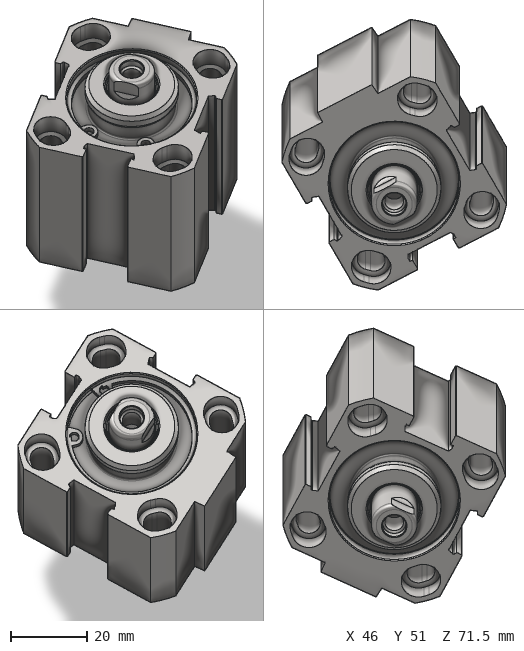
import cadquery as cq
import math


WIDTH = 46.0
HALF_DEPTH = 24.0
BOSS_REACH = 26.95
HEIGHT = 44.4
CORNER_RADIUS = 30.0
BOSS_HALF_WIDTH = 8.1
BOSS_ROOT_HALF_WIDTH = 8.3

SLOT_HALF_WIDTH = 6.1
UNDERCUT_HALF_WIDTH = 6.85
SLOT_FLOOR_HALF_WIDTH = 6.35
SLOT_FLOOR_REACH = 19.1
FRONT_LIP_REACH = 21.0
FRONT_UNDERCUT_REACH = 20.1
SIDE_LIP_REACH = 21.3
SIDE_UNDERCUT_REACH = 20.5
SIDE_LIP_SLOPE = 0.4
MOUTH_BEVEL = 0.2

MOUNT_X = 16.5
MOUNT_Y = 17.5
MOUNT_OFFSET = 1.4
MOUNT_HOLE = 5.9
MOUNT_COUNTERBORE = 8.95
MOUNT_COUNTERBORE_DEPTH = 5.7

BORE = 33.7
MOUTH_BORE = 34.1
MOUTH_CHAMFER = 0.3
SEAT_DEPTH = 3.6

RING_OUTER = 35.8
RING_INNER = 31.7
RING_THICKNESS = 1.5
EAR_RADIUS = 2.3
EAR_HOLE = 2.5
EAR_CENTER_RADIUS = 15.1
EAR_ANGLE = 31.0
EAR_FLARE = 15.0

GLAND_LENGTH = 10.0
NECK = 23.0
COLLAR = 24.5
GLAND_PROTRUSION = 5.1
COLLAR_CHAMFER = 1.0
COLLAR_LAND = 2.0
COLLAR_CONE = 1.3
NECK_FILLET = 0.5
WIPER_BORE = 14.0
WIPER_CHAMFER = 0.35
WIPER_BORE_DEPTH = 1.1
LIP_MOUTH = 13.3
LIP_MOUTH_DEPTH = 1.6
LIP_BORE = 12.5
LIP_BORE_DEPTH = 2.5

ROD = 12.0
ROD_LENGTH = 71.5
ROD_TOP = 11.0
ROD_FILLET = 1.3
FLATS = 10.0
FLAT_LENGTH = 4.35
FLAT_RUNOUT = 1.0
SOCKET_CHAMFER = 0.2
SOCKET = 6.2
SOCKET_DEPTH = 2.15
THREAD_HOLE = 4.9
THREAD_DEPTH = 10.7
STEP_ANGLE = 118.0
HOLE_POINT = 160.0


def cylinder(diameter, bottom, top):
    return cq.Workplane("XY").workplane(offset=bottom).circle(diameter / 2).extrude(top - bottom)


def revolved(profile):
    """Turn a (radius, height) outline about the Z axis."""
    return cq.Workplane("XZ").polyline(profile).close().revolve(360, (0, 0), (0, 1))


def mirrored_in_housing(body):
    """Copy a body from one end of the housing to the other."""
    return body.mirror("XY", (0, 0, HEIGHT / 2))


def t_slot(face_reach, lip_reach, lip_slope, undercut_reach):
    """T-slot cutter opening toward -Y, with its mouth at face_reach from the axis."""
    right_side = [
        (SLOT_HALF_WIDTH + MOUTH_BEVEL, -face_reach),
        (SLOT_HALF_WIDTH, -face_reach + MOUTH_BEVEL),
        (SLOT_HALF_WIDTH, -lip_reach),
        (UNDERCUT_HALF_WIDTH, -lip_reach + lip_slope),
        (UNDERCUT_HALF_WIDTH, -undercut_reach),
        (SLOT_FLOOR_HALF_WIDTH, -SLOT_FLOOR_REACH),
    ]
    left_side = [(-x, y) for x, y in reversed(right_side)]
    return cq.Workplane("XY").polyline(right_side + left_side).close().extrude(HEIGHT)


def housing_profile():
    block = cq.Workplane("XY").rect(WIDTH, 2 * HALF_DEPTH).extrude(HEIGHT)
    boss_outline = [
        (-BOSS_ROOT_HALF_WIDTH, HALF_DEPTH),
        (BOSS_ROOT_HALF_WIDTH, HALF_DEPTH),
        (BOSS_HALF_WIDTH, BOSS_REACH),
        (-BOSS_HALF_WIDTH, BOSS_REACH),
    ]
    boss = cq.Workplane("XY").polyline(boss_outline).close().extrude(HEIGHT)
    return block.union(boss).intersect(cylinder(2 * CORNER_RADIUS, 0, HEIGHT))


def mounting_hole():
    """Through slot, counterbored at both ends, with its length along X."""
    def slot(width, bottom, top):
        plane = cq.Workplane("XY").workplane(offset=bottom)
        return plane.slot2D(width + MOUNT_OFFSET, width).extrude(top - bottom)

    hole = slot(MOUNT_HOLE, 0, HEIGHT)
    counterbore = slot(MOUNT_COUNTERBORE, HEIGHT - MOUNT_COUNTERBORE_DEPTH, HEIGHT)
    return hole.union(counterbore).union(mirrored_in_housing(counterbore))


def bore_mouth():
    """Wider, chamfered entrance of the bore at the top end."""
    return cylinder(MOUTH_BORE, HEIGHT - SEAT_DEPTH, HEIGHT).union(
        revolved([
            (0, HEIGHT),
            (MOUTH_BORE / 2 + MOUTH_CHAMFER, HEIGHT),
            (MOUTH_BORE / 2, HEIGHT - MOUTH_CHAMFER),
            (0, HEIGHT - MOUTH_CHAMFER),
        ])
    )


def make_housing():
    body = housing_profile()
    body = body.cut(t_slot(HALF_DEPTH, FRONT_LIP_REACH, 0, FRONT_UNDERCUT_REACH))
    side_slot = t_slot(WIDTH / 2, SIDE_LIP_REACH, SIDE_LIP_SLOPE, SIDE_UNDERCUT_REACH)
    for turn in (90, -90):
        body = body.cut(side_slot.rotate((0, 0, 0), (0, 0, 1), turn))
    for side_x in (-1, 1):
        for side_y in (-1, 1):
            hole = mounting_hole().rotate((0, 0, 0), (0, 0, 1), -45 * side_x * side_y)
            body = body.cut(hole.translate((side_x * MOUNT_X, side_y * MOUNT_Y, 0)))
    body = body.cut(cylinder(BORE, 0, HEIGHT))
    body = body.cut(bore_mouth()).cut(mirrored_in_housing(bore_mouth()))
    ring_groove = cylinder(RING_OUTER, HEIGHT - SEAT_DEPTH, HEIGHT - SEAT_DEPTH + RING_THICKNESS)
    return body.cut(ring_groove)


def ring_ear():
    """Ear pointing inward, with its hole centre on the -Y axis and its root at the ring."""
    flare = math.radians(EAR_FLARE)
    tangent_x = EAR_RADIUS * math.cos(flare)
    tangent_y = EAR_RADIUS * math.sin(flare) - EAR_CENTER_RADIUS
    root_y = -RING_OUTER / 2
    root_x = tangent_x + (tangent_y - root_y) * math.tan(flare)
    wedge = [(tangent_x, tangent_y), (root_x, root_y), (-root_x, root_y), (-tangent_x, tangent_y)]
    tip = cq.Workplane("XY").center(0, -EAR_CENTER_RADIUS).circle(EAR_RADIUS).extrude(RING_THICKNESS)
    return tip.union(cq.Workplane("XY").polyline(wedge).close().extrude(RING_THICKNESS))


def make_retaining_ring():
    outer_disc = cylinder(RING_OUTER, 0, RING_THICKNESS)
    ring = outer_disc.cut(cylinder(RING_INNER, 0, RING_THICKNESS))
    gap_reach = RING_OUTER * math.tan(math.radians(EAR_ANGLE))
    gap = (
        cq.Workplane("XY")
        .polyline([(0, 0), (gap_reach, -RING_OUTER), (-gap_reach, -RING_OUTER)])
        .close()
        .extrude(RING_THICKNESS)
    )
    ring = ring.cut(gap)
    ear_hole = cylinder(EAR_HOLE, 0, RING_THICKNESS).translate((0, -EAR_CENTER_RADIUS, 0))
    for angle in (EAR_ANGLE, -EAR_ANGLE):
        ear = ring_ear().cut(ear_hole).rotate((0, 0, 0), (0, 0, 1), angle)
        ring = ring.union(ear.intersect(outer_disc))
    return ring.translate((0, 0, HEIGHT - SEAT_DEPTH))


def make_gland():
    """Top gland: a plug in the bore, with a neck and a collar outside the housing."""
    plate = HEIGHT - SEAT_DEPTH
    face = HEIGHT + GLAND_PROTRUSION
    collar_top = face - COLLAR_CHAMFER
    collar_bottom = collar_top - COLLAR_LAND
    fillet_middle = NECK_FILLET * (1 - math.sqrt(0.5))
    outline = (
        cq.Workplane("XZ")
        .moveTo(ROD / 2, plate - GLAND_LENGTH)
        .lineTo(BORE / 2, plate - GLAND_LENGTH)
        .lineTo(BORE / 2, plate)
        .lineTo(NECK / 2 + NECK_FILLET, plate)
        .threePointArc(
            (NECK / 2 + fillet_middle, plate + fillet_middle),
            (NECK / 2, plate + NECK_FILLET),
        )
        .lineTo(NECK / 2, collar_bottom - COLLAR_CONE)
        .lineTo(COLLAR / 2, collar_bottom)
        .lineTo(COLLAR / 2, collar_top)
        .lineTo(COLLAR / 2 - COLLAR_CHAMFER, face)
        .lineTo(WIPER_BORE / 2 + WIPER_CHAMFER, face)
        .lineTo(WIPER_BORE / 2, face - WIPER_CHAMFER)
        .lineTo(WIPER_BORE / 2, face - WIPER_BORE_DEPTH)
        .lineTo(LIP_MOUTH / 2, face - WIPER_BORE_DEPTH)
        .lineTo(LIP_MOUTH / 2, face - LIP_MOUTH_DEPTH)
        .lineTo(LIP_BORE / 2, face - LIP_MOUTH_DEPTH)
        .lineTo(LIP_BORE / 2, face - LIP_BORE_DEPTH)
        .lineTo(ROD / 2, face - LIP_BORE_DEPTH)
        .close()
    )
    return outline.revolve(360, (0, 0), (0, 1))


def rod_end_socket(end):
    """Chamfered socket with a blind, cone-bottomed hole below it, going down from height end."""
    step_height = (SOCKET - THREAD_HOLE) / 2 / math.tan(math.radians(STEP_ANGLE / 2))
    point_height = THREAD_HOLE / 2 / math.tan(math.radians(HOLE_POINT / 2))
    socket_floor = end - SOCKET_DEPTH
    hole_bottom = end - THREAD_DEPTH
    return revolved([
        (0, end),
        (SOCKET / 2 + SOCKET_CHAMFER, end),
        (SOCKET / 2, end - SOCKET_CHAMFER),
        (SOCKET / 2, socket_floor),
        (THREAD_HOLE / 2, socket_floor - step_height),
        (THREAD_HOLE / 2, hole_bottom),
        (0, hole_bottom - point_height),
    ])


def rod_flat(end):
    """Cutter for the wrench flat on the +Y side below height end."""
    flat_bottom = end - FLAT_LENGTH
    profile = [
        (FLATS / 2, end),
        (FLATS / 2, flat_bottom),
        (FLATS / 2 + 2 * FLAT_RUNOUT, flat_bottom - 2 * FLAT_RUNOUT),
        (FLATS / 2 + 2 * FLAT_RUNOUT, end),
    ]
    return cq.Workplane("YZ").polyline(profile).close().extrude(ROD / 2, both=True)


def make_rod():
    """Through rod whose two ends are alike."""
    top = HEIGHT + ROD_TOP
    middle = top - ROD_LENGTH / 2
    rod = cylinder(ROD, top - ROD_LENGTH, top).edges().fillet(ROD_FILLET)
    flat = rod_flat(top)
    end_cut = rod_end_socket(top).union(flat).union(flat.mirror("XZ"))
    return rod.cut(end_cut).cut(end_cut.mirror("XY", (0, 0, middle)))


housing = make_housing()
retaining_ring = make_retaining_ring()
top_gland = make_gland()
bottom_gland = mirrored_in_housing(make_gland())
rod = make_rod()

result = cq.Compound.makeCompound([
    housing.val(),
    retaining_ring.val(),
    top_gland.val(),
    bottom_gland.val(),
    rod.val(),
])